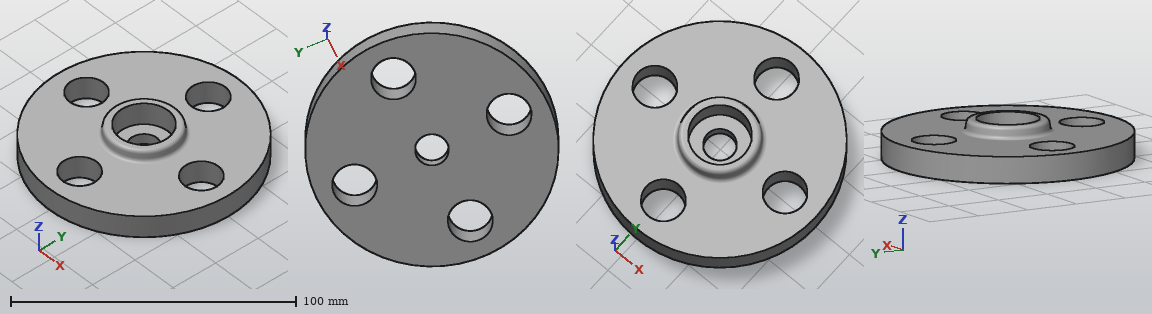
import cadquery as cq

flange_diameter = 88.9
flange_thickness = 9.7
total_height = 14.2

hub_base_diameter = 30.2
hub_top_diameter = 28.8
hub_fillet_radius = 1.6

socket_diameter = 22.4
socket_depth = 9.6
bore_diameter = 11.8

bolt_hole_count = 4
bolt_hole_diameter = 15.7
bolt_circle_diameter = 60.4


def make_body():
    """Flange disc and tapered hub, revolved about Z from one half section."""
    half_section = [
        (0, 0),
        (flange_diameter / 2, 0),
        (flange_diameter / 2, flange_thickness),
        (hub_base_diameter / 2, flange_thickness),
        (hub_top_diameter / 2, total_height),
        (0, total_height),
    ]
    return (
        cq.Workplane("XZ")
        .polyline(half_section)
        .close()
        .revolve(360, (0, 0), (0, 1))
    )


def round_hub(body):
    """Round the hub's top rim and blend its foot into the flange."""
    hub_corners = [
        (hub_top_diameter / 2, total_height),
        (hub_base_diameter / 2, flange_thickness),
    ]
    tolerance = 0.01
    for radius, height in hub_corners:
        reach = radius + tolerance
        around_corner = cq.selectors.BoxSelector(
            (-reach, -reach, height - tolerance),
            (reach, reach, height + tolerance),
            boundingbox=True,
        )
        body = body.edges(around_corner).fillet(hub_fillet_radius)
    return body


def cut_opening(body):
    """Bore through the centre and open the pipe socket from the top."""
    bore = cq.Workplane("XY").circle(bore_diameter / 2).extrude(total_height)
    socket = (
        cq.Workplane("XY", origin=(0, 0, total_height - socket_depth))
        .circle(socket_diameter / 2)
        .extrude(socket_depth)
    )
    return body.cut(bore).cut(socket)


def cut_bolt_holes(body):
    """Through holes on the bolt circle, the first one on +X."""
    holes = (
        cq.Workplane("XY")
        .polarArray(bolt_circle_diameter / 2, 0, 360, bolt_hole_count)
        .circle(bolt_hole_diameter / 2)
        .extrude(flange_thickness)
    )
    return body.cut(holes)


result = cut_bolt_holes(cut_opening(round_hub(make_body())))